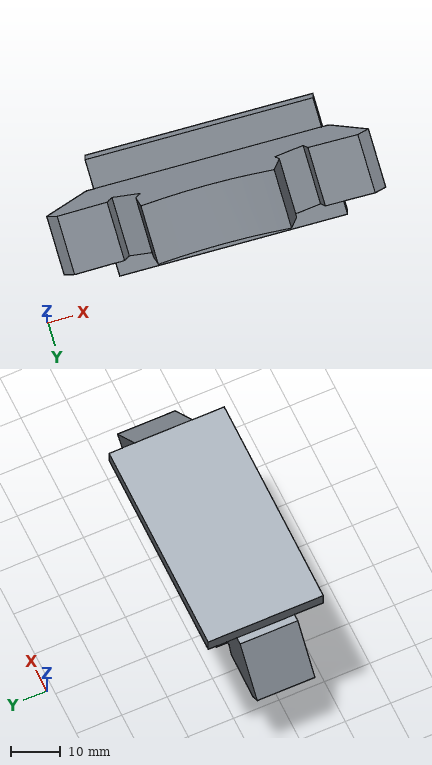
import cadquery as cq

plate_length = 47.4
plate_width = 25.4
plate_thickness = 3.1

body_length = 66.95
body_width = 12.7
body_height = 20.3
shoulder_half_length = 25.25

tip_depth = 10.0
arm_heel = (31.25, 11.9)
arm_toe = (20.9, 11.5)
notch_peak = (19.9, 9.25)
notch_inner = (14.05, 11.65)

foot_bulge = (14.9, 13.85)
foot_half_length = 13.85
arch_rise = 1.9

half_outline = [
    (shoulder_half_length, 0),
    (body_length / 2, tip_depth),
    arm_heel,
    arm_toe,
    notch_peak,
    notch_inner,
    foot_bulge,
    (foot_half_length, body_height),
]
right_side = [(x, -depth) for x, depth in half_outline]
left_side = [(-x, z) for x, z in reversed(right_side)]


def make_body():
    """Mirror-symmetric clip profile extruded evenly about Y = 0."""
    return (
        cq.Workplane("XZ")
        .polyline(right_side)
        .threePointArc((0, arch_rise - body_height), left_side[0])
        .polyline(left_side[1:], includeCurrent=True)
        .close()
        .extrude(body_width / 2, both=True)
    )


def make_plate():
    """Flat rectangular plate resting on the body."""
    return cq.Workplane("XY").box(
        plate_length, plate_width, plate_thickness, centered=(True, True, False)
    )


result = make_body().union(make_plate())